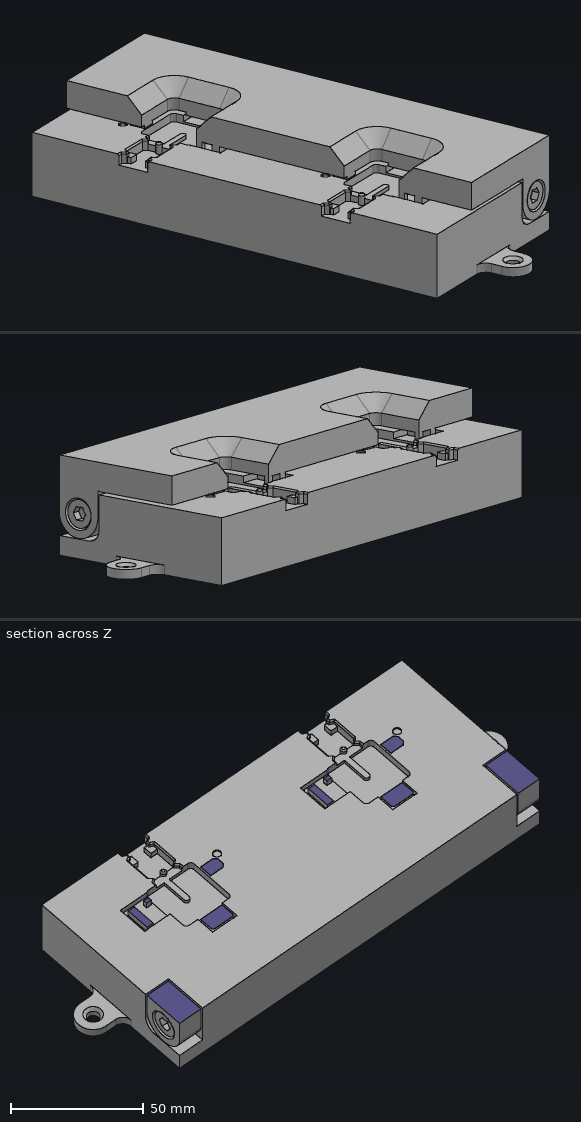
import cadquery as cq
import math


body_length = 182.0
body_depth = 78.5
base_height = 26.5
total_height = 39.0
total_length = 214.6
lid_gap = 1.3
lid_bottom = base_height + lid_gap
lid_front = 24.0

stations = (-body_length / 4, body_length / 4)

hinge_to_back = 9.2
hinge_y = body_depth - hinge_to_back
hinge_z = 17.4
knuckle_radius = 9.5
knuckle_width = 11.0
notch_width = knuckle_width + 0.6
notch_depth = 19.3
notch_floor = 7.7
notch_corner_radius = 5.2

head_radius = 5.5
head_length = 6.5
head_recess = 0.6
counterbore_radius = 6.2
counterbore_depth = head_recess + head_length
shank_radius = 3.2
screw_length = 21.5
socket_flats = 5.2
socket_depth = 3.2

lug_radius = 7.5
lug_thickness = 3.9
lug_fillet = 4.0
lug_hole_radius = 2.5
lug_sink_radius = 3.9
lug_sink_angle = 90
lug_center_x = total_length / 2 - lug_radius
lug_y = body_depth / 2

pocket_size = 23.2
pocket_offset = 0.6
pocket_front = 21.5
pocket_depth = 3.5
pocket_corner_radius = 1.7
pocket_right = pocket_offset + pocket_size / 2

channel_width = 12.9
channel_depth = 4.5
channel_chamfer = 0.6
shelf_depth = 2.0
shelf_front = 18.0

ridge_width = 2.5
ridge_offset = 1.3
ridge_end = 34.0

peg_radius = 1.3
peg_chamfer = 0.6

rear_nib_reach = 1.5
rear_nib_y = 18.2
rear_nib_base = 3.2
rear_nib_tip = 0.5
front_nib_reach = 1.7
front_nib_y = 3.6
front_nib_base = 3.5
front_nib_tip = 1.7
stop_width = 3.2
stop_front = 3.5
stop_back = 7.3

recess_depth = 2.5
recess_floor = base_height - recess_depth
side_recess_end = 25.1
side_recess_front = 22.0
side_recess_back = 35.6
back_recess_width = 12.2
back_recess_end = 53.0
locating_hole_spacing = 41.6
locating_hole_radius = 1.7
locating_hole_y = 25.1
locating_hole_depth = 0.6

window_width = 24.7
window_back = 45.3
window_corner_radius = 3.2
window_flare = 6.5
window_left = pocket_offset - window_width / 2
window_right = pocket_offset + window_width / 2

back_pad_width = 11.0
back_pad_depth = 7.0
back_pad_radius = 1.3
left_pad_end = -19.3
left_pad_front = 26.0
left_pad_depth = 5.8
left_pad_chamfer = 1.3

post_end = 15.5
post_depth = 2.0
bar_start = 20.0
bar_width = 3.2
bar_back = 35.0


def block(x_range, y_range, z_range):
    """Box between the given limits."""
    (x0, x1), (y0, y1), (z0, z1) = x_range, y_range, z_range
    return cq.Workplane("XY").box(x1 - x0, y1 - y0, z1 - z0, centered=False).translate((x0, y0, z0))


def upright(radius, x, y, z_range):
    """Vertical cylinder."""
    return cq.Workplane("XY", origin=(x, y, z_range[0])).circle(radius).extrude(z_range[1] - z_range[0])


def hinge_cylinder(radius, depth_from, depth_to):
    """Cylinder on the hinge axis, between two depths measured inward from the left end."""
    plane = cq.Workplane("YZ", origin=(depth_from - body_length / 2, hinge_y, hinge_z))
    return plane.circle(radius).extrude(depth_to - depth_from)


def both_ends(left_shape):
    """The left-end shape together with its mirror image at the right end."""
    return left_shape, left_shape.mirror("YZ")


def lug():
    """Left mounting lug with a countersunk hole and fillets where it meets the body."""
    body_side = -body_length / 2
    flare_half = lug_radius + lug_fillet
    arc_dip = lug_fillet * (1 - math.sqrt(0.5))
    outline = (
        cq.Workplane("XY")
        .moveTo(body_side, lug_y - flare_half)
        .threePointArc(
            (body_side - arc_dip, lug_y - lug_radius - arc_dip),
            (body_side - lug_fillet, lug_y - lug_radius),
        )
        .lineTo(-lug_center_x, lug_y - lug_radius)
        .threePointArc((-total_length / 2, lug_y), (-lug_center_x, lug_y + lug_radius))
        .lineTo(body_side - lug_fillet, lug_y + lug_radius)
        .threePointArc(
            (body_side - arc_dip, lug_y + lug_radius + arc_dip),
            (body_side, lug_y + flare_half),
        )
        .close()
    )
    return (
        outline.extrude(lug_thickness)
        .faces(">Z")
        .workplane(origin=(-lug_center_x, lug_y, lug_thickness))
        .cskHole(2 * lug_hole_radius, 2 * lug_sink_radius, lug_sink_angle)
    )


def hinge_notch():
    """Space in the left end of the base for the lid's hinge knuckle."""
    left = -body_length / 2
    notch = block(
        (left, left + notch_width),
        (body_depth - notch_depth, body_depth),
        (notch_floor, base_height),
    )
    return notch.edges("|X and <Y and <Z").fillet(notch_corner_radius)


def nib_points(side, y, base_length, tip_length, reach):
    """Corners of a nib on one channel wall, from front to back."""
    wall = side * channel_width / 2
    tip = side * (channel_width / 2 - reach)
    return [
        (wall, y - base_length / 2),
        (tip, y - tip_length / 2),
        (tip, y + tip_length / 2),
        (wall, y + base_length / 2),
    ]


def channel_wall(side):
    """Corners of one channel wall with its two nibs, from front to back."""
    wall = side * channel_width / 2
    return [
        (wall, -channel_chamfer),
        *nib_points(side, front_nib_y, front_nib_base, front_nib_tip, front_nib_reach),
        *nib_points(side, rear_nib_y, rear_nib_base, rear_nib_tip, rear_nib_reach),
        (wall, pocket_front),
    ]


def channel():
    """Open channel with a shelf at the pocket end, two stops, a peg and chamfered upper edges."""
    half = channel_width / 2
    floor = base_height - channel_depth
    shelf_top = base_height - shelf_depth
    outline = channel_wall(-1) + channel_wall(1)[::-1]
    walls = cq.Workplane("XY", origin=(0, 0, floor)).polyline(outline).close().extrude(channel_depth)
    bevel = (
        cq.Workplane("XY", origin=(0, 0, base_height - channel_chamfer))
        .polyline(outline)
        .close()
        .extrude(channel_chamfer, taper=-45)
    )
    shelf = block((-half, half), (shelf_front, pocket_front), (floor, shelf_top))
    cutter = walls.union(bevel).cut(shelf)
    for side in (-1, 1):
        stop_x = sorted((side * (half - stop_width), side * half))
        cutter = cutter.cut(block(stop_x, (stop_front, stop_back), (floor, shelf_top)))
    peg = upright(peg_radius, 0, shelf_front, (floor, base_height))
    return cutter.cut(peg.faces(">Z").chamfer(peg_chamfer))


def pocket():
    """Rounded square pocket with a round-ended ridge left standing on its floor."""
    floor = base_height - pocket_depth
    cutter = block(
        (pocket_right - pocket_size, pocket_right),
        (pocket_front, pocket_front + pocket_size),
        (floor, base_height),
    ).edges("|Z").fillet(pocket_corner_radius)
    ridge_half = ridge_width / 2
    ridge_z = (floor, base_height - shelf_depth)
    ridge = block(
        (ridge_offset - ridge_half, ridge_offset + ridge_half),
        (pocket_front, ridge_end - ridge_half),
        ridge_z,
    ).union(upright(ridge_half, ridge_offset, ridge_end - ridge_half, ridge_z))
    return cutter.cut(ridge)


def side_recess():
    """Recess to the right of the pocket for the lid's post and bar."""
    return block(
        (pocket_right - pocket_corner_radius, side_recess_end),
        (side_recess_front, side_recess_back),
        (recess_floor, base_height),
    )


def back_recess():
    """Recess behind the pocket, below the back pad of the lid."""
    return block(
        (-back_recess_width / 2, back_recess_width / 2),
        (pocket_front + pocket_size, back_recess_end),
        (recess_floor, base_height),
    )


def locating_hole(side, top):
    """Shallow round hole beside the pocket, sunk below the given level."""
    hole_x = side * locating_hole_spacing / 2
    return upright(locating_hole_radius, hole_x, locating_hole_y, (top - locating_hole_depth, top))


def base_station():
    """Everything cut from the base at one station."""
    return (
        pocket(),
        channel(),
        side_recess(),
        back_recess(),
        left_pad(),
        locating_hole(-1, base_height),
        locating_hole(1, recess_floor),
    )


def make_base():
    """Base block with lugs, hinge notches, screw holes and the two stations."""
    half = body_length / 2
    base = block((-half, half), (0, body_depth), (0, base_height))
    for end_lug in both_ends(lug()):
        base = base.union(end_lug)
    for notch in both_ends(hinge_notch()):
        base = base.cut(notch)
    for screw_hole in both_ends(hinge_cylinder(shank_radius, 0, screw_length)):
        base = base.cut(screw_hole)
    for x in stations:
        for cutter in base_station():
            base = base.cut(cutter.translate((x, 0, 0)))
    return base


def window():
    """Cutter for one lid window: straight below, flared at 45 degrees to the top face."""
    flare_z = total_height - window_flare
    outline_depth = 2 * (window_back - lid_front)
    outline = cq.Sketch().rect(window_width, outline_depth).vertices().fillet(window_corner_radius)
    top_outline = (
        cq.Sketch()
        .rect(window_width + 2 * window_flare, outline_depth + 2 * window_flare)
        .vertices()
        .fillet(window_corner_radius + window_flare)
    )
    straight = (
        cq.Workplane("XY", origin=(pocket_offset, lid_front, lid_bottom))
        .placeSketch(outline)
        .extrude(flare_z - lid_bottom)
    )
    flare = (
        cq.Workplane("XY", origin=(pocket_offset, lid_front, flare_z))
        .placeSketch(outline, top_outline.moved(cq.Location(cq.Vector(0, 0, window_flare))))
        .loft()
    )
    return straight.union(flare)


def back_pad():
    """Pad behind the window, spanning the gap down to the top of the base."""
    pad = block(
        (-back_pad_width / 2, back_pad_width / 2),
        (window_back, window_back + back_pad_depth),
        (base_height, lid_bottom),
    )
    return pad.edges("|Z and >Y").fillet(back_pad_radius)


def left_pad():
    """Chamfered pad to the left of the window, seated in a matching recess in the base."""
    pad = block(
        (left_pad_end, window_left),
        (left_pad_front, left_pad_front + left_pad_depth),
        (recess_floor, lid_bottom),
    )
    return pad.edges("|Z and <X").chamfer(left_pad_chamfer)


def corner_post():
    """Short post at the right front corner of the window, flush with the lid's front."""
    return block((window_right, post_end), (lid_front, lid_front + post_depth), (recess_floor, lid_bottom))


def side_bar():
    """Bar to the right of the window, running back from the lid's front."""
    return block((bar_start, bar_start + bar_width), (lid_front, bar_back), (recess_floor, lid_bottom))


def knuckle():
    """Left hinge knuckle, hanging from the lid and rounded about the hinge axis."""
    left = -body_length / 2
    leg = block(
        (left, left + knuckle_width),
        (hinge_y - knuckle_radius, body_depth),
        (hinge_z, lid_bottom),
    )
    rounded_end = hinge_cylinder(knuckle_radius, 0, knuckle_width)
    behind = block(
        (left, left + knuckle_width),
        (body_depth, body_depth + knuckle_radius),
        (0, total_height),
    )
    return leg.union(rounded_end).cut(behind)


def screw():
    """Left hinge screw with a hexagon socket in its head."""
    socket = (
        cq.Workplane("YZ", origin=(head_recess - body_length / 2, hinge_y, hinge_z))
        .polygon(6, socket_flats / math.cos(math.pi / 6))
        .extrude(socket_depth)
    )
    head = hinge_cylinder(head_radius, head_recess, counterbore_depth)
    shank = hinge_cylinder(shank_radius, counterbore_depth, screw_length)
    return head.union(shank).cut(socket)


def make_lid():
    """Lid plate with windows, pads, posts, bars and counterbored hinge knuckles."""
    half = body_length / 2
    lid = block((-half, half), (lid_front, body_depth), (lid_bottom, total_height))
    for end_knuckle in both_ends(knuckle()):
        lid = lid.union(end_knuckle)
    for counterbore in both_ends(hinge_cylinder(counterbore_radius, 0, counterbore_depth)):
        lid = lid.cut(counterbore)
    for screw_hole in both_ends(hinge_cylinder(shank_radius, 0, knuckle_width)):
        lid = lid.cut(screw_hole)
    for x in stations:
        lid = lid.cut(window().translate((x, 0, 0)))
        for addition in (back_pad(), left_pad(), corner_post(), side_bar()):
            lid = lid.union(addition.translate((x, 0, 0)))
    return lid


base = make_base()
lid = make_lid()
screws = [end_screw.val() for end_screw in both_ends(screw())]

result = cq.Compound.makeCompound([base.val(), lid.val(), *screws])